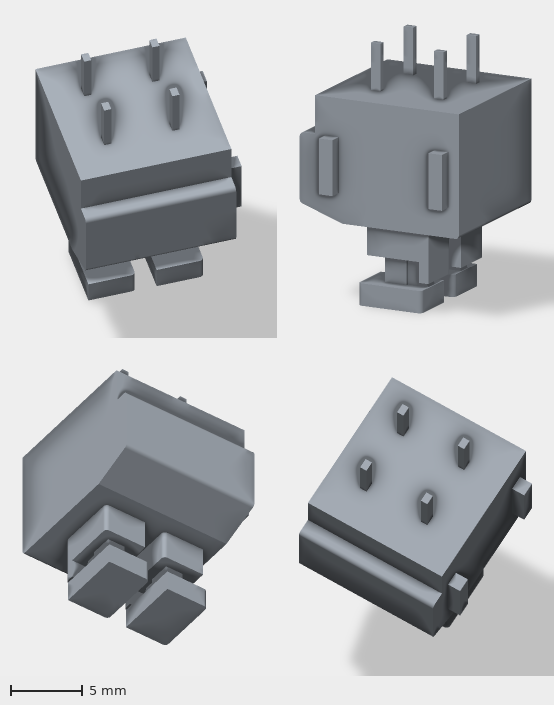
import cadquery as cq

total_height = 18.7
total_depth = 12.0
pitch = 5.0
pole_count = 2
column_count = 2

housing_length = 12.6
housing_depth = 11.01
housing_top = 15.22
housing_bottom = 6.13
ledge_x = 11.39
ledge_z = 12.4
slope_start_x = 9.22
slope_end_z = 7.3
edge_round = 0.3
foot_round = 0.26

pin_length_x = 0.75
pin_length_y = 0.52
first_pin_x = 3.15
first_pin_y = 2.8

peg_width = 1.07
peg_bottom = 8.34
first_peg_x = 0.82
peg_pitch = 8.68

guide_left = 2.94
guide_right = 7.78
guide_front = 1.65
guide_width = 3.38
guide_bottom = 3.8
lip_thickness = 0.75
lip_bottom = 2.28

button_left = 3.59
button_length = 5.01
button_front = 1.37
button_width = 3.46
button_height = 1.63
stem_center_y = 3.1
stem_left = 5.3
stem_right = 7.0
stem_width = 1.4
rib_width = 1.01
rib_foot_x = 3.7
rib_head_x = 4.28


def box(x_start, x_end, y_start, y_end, z_start, z_end):
    """Block between two opposite corners."""
    size = (x_end - x_start, y_end - y_start, z_end - z_start)
    return cq.Workplane("XY").box(*size, centered=False).translate((x_start, y_start, z_start))


def make_housing():
    """Housing profile extruded along Y, with three rounded long edges."""
    profile = [
        (0, housing_bottom),
        (slope_start_x, housing_bottom),
        (housing_length, slope_end_z),
        (housing_length, ledge_z),
        (ledge_x, ledge_z),
        (ledge_x, housing_top),
        (0, housing_top),
    ]
    body = cq.Workplane("XZ").polyline(profile).close().extrude(-housing_depth)
    body = body.edges("|Y and >X").fillet(edge_round)
    return body.edges("|Y and <X and <Z").fillet(foot_round)


def make_pin(center_x, center_y):
    half_x = pin_length_x / 2
    half_y = pin_length_y / 2
    return box(
        center_x - half_x, center_x + half_x,
        center_y - half_y, center_y + half_y,
        housing_top, total_height,
    )


def make_peg(left):
    return box(left, left + peg_width, housing_depth, total_depth, peg_bottom, ledge_z)


def make_guide():
    """Guide block with a longer lip on its left side and rounded front edges."""
    back = guide_front + guide_width
    block = box(guide_left, guide_right, guide_front, back, guide_bottom, housing_bottom)
    lip = box(guide_left, guide_left + lip_thickness, guide_front, back, lip_bottom, housing_bottom)
    guide = block.union(lip)
    front_corners = guide.edges("|Z and <Y and <X").add(guide.edges("|Z and <Y and >X"))
    return front_corners.fillet(edge_round)


def make_stem():
    """Stem with a narrower, slanted rib on its left side."""
    half_width = stem_width / 2
    stem = box(
        stem_left, stem_right,
        stem_center_y - half_width, stem_center_y + half_width,
        button_height, guide_bottom,
    )
    rib_profile = [
        (rib_foot_x, button_height),
        (stem_left, button_height),
        (stem_left, guide_bottom),
        (rib_head_x, guide_bottom),
    ]
    rib = cq.Workplane("XZ").polyline(rib_profile).close().extrude(rib_width / 2, both=True)
    return stem.union(rib.translate((0, stem_center_y, 0)))


def make_button():
    """Push button with rounded rear edges."""
    back = button_front + button_width
    button = box(button_left, button_left + button_length, button_front, back, 0, button_height)
    return button.edges("|Z and >Y").fillet(edge_round)


result = make_housing()

for column in range(column_count):
    result = result.union(make_peg(first_peg_x + column * peg_pitch))
    for row in range(pole_count):
        result = result.union(make_pin(first_pin_x + column * pitch, first_pin_y + row * pitch))

lever = make_guide().union(make_stem()).union(make_button())
for row in range(pole_count):
    result = result.union(lever.translate((0, row * pitch, 0)))